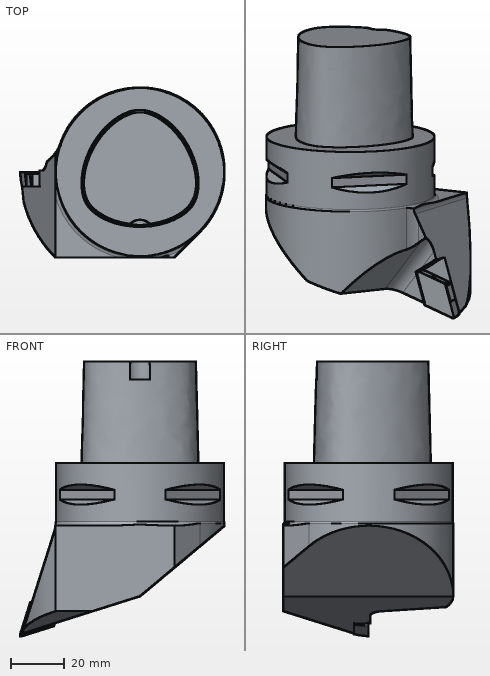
import cadquery as cq
import math


shank_height = 38.0
shank_radius = 21.9
lobe_height = 1.39
taper_per_height = 1 / 40
keyway_radius = 5.0
keyway_depth = 1.8
keyway_height = 6.7

flange_radius = 31.5
flange_height = 21.9
groove_z = -11.8
groove_length = 28.8
groove_floor_width = 3.5
groove_wall_angle = 30

neck_fillet = 1.4
block_top = -flange_height - neck_fillet
block_radius = 31.7
front_y = -32.0
swing_radius = 45.0
block_depth = 65.0
heel_z = -50.0
heel_end_x = 31.7
heel_end_z = -23.5
lead_angle = 17.5
flank_bend_height = 2.0
lead_slope = math.tan(math.radians(lead_angle))
relief_edge_z = -55.5

flank_offset = 38.6
flank_blend_y = 9.8
flank_blend_end_y = 5.7
flank_blend_radius = 10.3

gullet_floor_y = 0.6
gullet_edge_x = -30.2
gullet_edge_z = -41.5
gullet_slope = 1.25
gullet_lean = 0.2
gullet_fillet = 5.2

insert_thickness = 5.5
insert_side = 12.7
nose_radius = 0.4
clearance_angle = 7
land_width = 0.7
flank_recess = 0.6
recess_bottom_z = -58.8
recess_top_z = -53.0
pocket_top_x = -37.1
pocket_top_z = -43.4

big = 154.5


def lobed_wire(radius, z):
    """Closed curve whose tangent lines lie radius + lobe_height * cos(3 * angle) from the axis."""
    def point(angle):
        reach = radius + lobe_height * math.cos(3 * angle)
        slide = -3 * lobe_height * math.sin(3 * angle)
        along_y = reach * math.cos(angle) - slide * math.sin(angle)
        along_x = -reach * math.sin(angle) - slide * math.cos(angle)
        return cq.Vector(along_x, along_y, z)

    steps = 48
    points = [point(2 * math.pi * i / steps) for i in range(steps)]
    return cq.Wire.assembleEdges([cq.Edge.makeSpline(points, periodic=True)])


def make_shank():
    top_radius = shank_radius - shank_height * taper_per_height
    sections = [lobed_wire(shank_radius, 0), lobed_wire(top_radius, shank_height)]
    shank = cq.Workplane(cq.Solid.makeLoft(sections))
    keyway_y = -(top_radius - lobe_height) + keyway_depth - keyway_radius
    keyway = (
        cq.Workplane(origin=(0, keyway_y, shank_height))
        .circle(keyway_radius)
        .extrude(-keyway_height)
    )
    return shank.cut(keyway)


def make_flange():
    flange = cq.Workplane().circle(flange_radius).extrude(block_top)
    floor_radius = math.sqrt(flange_radius**2 - (groove_length / 2) ** 2)
    depth = flange_radius - floor_radius
    floor_half = groove_floor_width / 2
    mouth_half = floor_half + depth * math.tan(math.radians(groove_wall_angle))
    groove = (
        cq.Workplane("XZ", origin=(0, groove_length, groove_z))
        .moveTo(floor_radius, -floor_half)
        .lineTo(flange_radius, -mouth_half)
        .lineTo(flange_radius, mouth_half)
        .lineTo(floor_radius, floor_half)
        .close()
        .extrude(2 * groove_length)
    )
    for angle in (45, 135, 225, 315):
        flange = flange.cut(groove.rotate((0, 0, 0), (0, 0, 1), angle))
    return flange


def block_plan(z):
    """Plan outline of the tool block, drawn at height z."""
    diagonal = block_radius / math.sqrt(2)
    front_right_x = math.sqrt(2) * block_radius + front_y
    front_left_x = -math.sqrt(swing_radius**2 - front_y**2)
    swing_x = -math.sqrt(swing_radius**2 - gullet_floor_y**2)
    swing_mid_y = front_y / 2
    swing_mid_x = -math.sqrt(swing_radius**2 - swing_mid_y**2)
    blend_x = -math.sqrt(block_radius**2 - flank_blend_y**2)
    step_x = gullet_floor_y - flank_offset
    return (
        cq.Workplane(origin=(0, 0, z))
        .moveTo(front_left_x, front_y)
        .lineTo(front_right_x, front_y)
        .lineTo(diagonal, -diagonal)
        .threePointArc((diagonal, diagonal), (blend_x, flank_blend_y))
        .radiusArc((flank_blend_end_y - flank_offset, flank_blend_end_y), flank_blend_radius)
        .lineTo(step_x, gullet_floor_y)
        .lineTo(swing_x, gullet_floor_y)
        .threePointArc((swing_mid_x, swing_mid_y), (front_left_x, front_y))
        .close()
    )


def make_block():
    block = block_plan(block_top).extrude(-block_depth)
    bend_z = block_top - flank_bend_height
    flank_bend_radius = flank_bend_height / math.sin(math.radians(lead_angle))
    bend_x = -block_radius - flank_bend_radius * (1 - math.cos(math.radians(lead_angle)))
    tip_x = (bend_x + lead_slope * (heel_z - bend_z)) / (1 - lead_slope**2)
    tip_z = heel_z + lead_slope * tip_x
    side = (
        cq.Workplane("XZ", origin=(0, big / 2, 0))
        .moveTo(-block_radius, block_top)
        .radiusArc((bend_x, bend_z), flank_bend_radius)
        .lineTo(tip_x, tip_z)
        .lineTo(0, heel_z)
        .lineTo(heel_end_x, heel_end_z)
        .lineTo(heel_end_x, block_top)
        .close()
        .extrude(big)
    )
    relief = (
        cq.Workplane("YZ", origin=(-big / 2, 0, 0))
        .moveTo(front_y, relief_edge_z)
        .lineTo(0, relief_edge_z + lead_slope * front_y)
        .lineTo(0, -big)
        .lineTo(front_y, -big)
        .close()
        .extrude(big)
    )
    return block.intersect(side).cut(relief)


def make_neck():
    """Concave ring that blends the flange into the top of the block."""
    outer = flange_radius + neck_fillet
    ring = (
        cq.Workplane("XZ")
        .moveTo(0, -flange_height)
        .lineTo(flange_radius, -flange_height)
        .radiusArc((outer, block_top), -neck_fillet)
        .lineTo(0, block_top)
        .close()
        .revolve(360, (0, 0, 0), (0, 1, 0))
    )
    left_limit = cq.Workplane().box(big, big, big).translate((big / 2 - block_radius, 0, 0))
    return ring.intersect(block_plan(block_top).extrude(neck_fillet)).intersect(left_limit)


def make_gullet():
    along_edge = cq.Plane(
        origin=(gullet_edge_x, gullet_floor_y, gullet_edge_z),
        xDir=(0, 1, 0),
        normal=(1, 0, -gullet_slope),
    )
    return (
        cq.Workplane(along_edge)
        .polyline([(0, 0), (big, gullet_lean * big), (big, -big), (0, -big)])
        .close()
        .extrude(big, both=True)
        .edges(cq.selectors.NearestToPointSelector(along_edge.origin.toTuple()))
        .fillet(gullet_fillet)
    )


def insert_corners():
    """Corner centres of the rhombus: nose, underside, inner and upper corners."""
    nose_x = -swing_radius + nose_radius
    nose_z = -block_depth + nose_radius
    long_step = insert_side * math.cos(math.radians(lead_angle))
    short_step = insert_side * math.sin(math.radians(lead_angle))
    return [
        (nose_x, nose_z),
        (nose_x + long_step, nose_z + short_step),
        (nose_x + long_step + short_step, nose_z + long_step + short_step),
        (nose_x + short_step, nose_z + long_step),
    ]


def make_insert():
    insert = (
        cq.Workplane("XZ")
        .polyline(insert_corners())
        .close()
        .offset2D(nose_radius)
        .extrude(insert_thickness, taper=clearance_angle)
    )
    nose, under, _, upper = insert_corners()
    flank_x = nose[0] - nose_radius / math.cos(math.radians(lead_angle)) - nose[1] * lead_slope
    recess_depth = flank_recess + land_width * math.tan(math.radians(clearance_angle))
    lower_x = flank_x + recess_bottom_z * lead_slope + recess_depth
    upper_x = flank_x + recess_top_z * lead_slope + recess_depth
    recess = (
        cq.Workplane("XZ", origin=(0, -land_width, 0))
        .polyline([
            (-big, recess_bottom_z),
            (lower_x, recess_bottom_z),
            (upper_x, recess_top_z),
            (-big, recess_top_z),
        ])
        .close()
        .extrude(insert_thickness)
    )
    centre = (under[0] + upper[0]) / 2, 0, (under[1] + upper[1]) / 2
    upper_recess = recess.mirror(cq.Vector(1, 0, 1), centre)
    return insert.cut(recess).cut(upper_recess)


def make_clearance():
    """Open part of the insert pocket, above the insert and outside it."""
    nose, under, inner, _ = insert_corners()
    return (
        cq.Workplane("XZ", origin=(0, gullet_floor_y, 0))
        .polyline([
            nose,
            under,
            inner,
            (pocket_top_x, pocket_top_z),
            (-big, pocket_top_z),
            (-big, -big),
            (nose[0], -big),
        ])
        .close()
        .extrude(gullet_floor_y + insert_thickness)
    )


insert = make_insert()
holder = (
    make_block()
    .union(make_neck())
    .union(make_flange())
    .union(make_shank())
    .cut(make_gullet())
    .cut(make_clearance())
    .cut(insert)
)

result = cq.Compound.makeCompound([*holder.vals(), insert.val()])